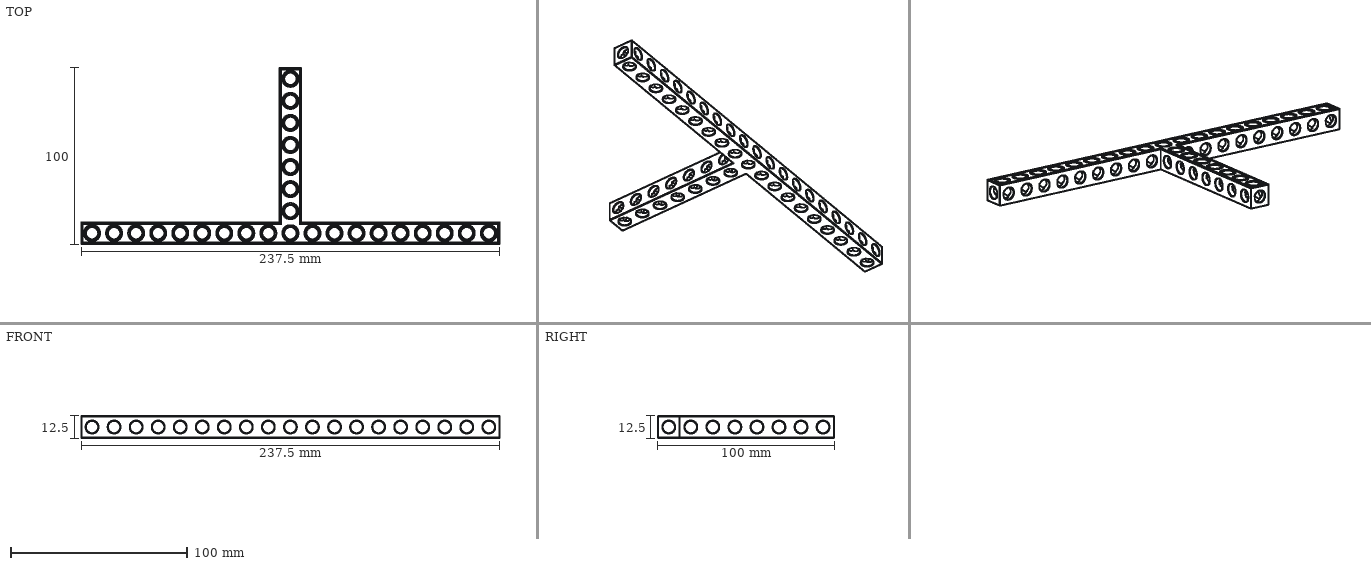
import cadquery as cq

length = 237.5
bar_holes = 19
stem_holes = 7
stem_station = 9
hole_diameter = 7.0
edge_chamfer = 0.3
ring_diameter = 9.3
border_width = 1.1
recess_depth = 0.2

pitch = length / bar_holes
half = pitch / 2
depth = pitch * (stem_holes + 1)
stem_x = half + stem_station * pitch

bar_stations = [half + i * pitch for i in range(bar_holes)]
stem_stations = [half + i * pitch for i in range(1, stem_holes + 1)]
top_holes = [(x, half) for x in bar_stations] + [(stem_x, y) for y in stem_stations]


def tee(inset, bottom, height):
    """T-shaped block standing on z = bottom, its outline drawn in by inset on every side."""
    stem_left = stem_x - half + inset
    stem_right = stem_x + half - inset
    outline = [
        (inset, inset),
        (length - inset, inset),
        (length - inset, pitch - inset),
        (stem_right, pitch - inset),
        (stem_right, depth - inset),
        (stem_left, depth - inset),
        (stem_left, pitch - inset),
        (inset, pitch - inset),
    ]
    return cq.Workplane("XY").workplane(offset=bottom).polyline(outline).close().extrude(height)


def chamfered_body():
    """The plain T, chamfered on all its edges except the two upright inside corners."""
    block = tee(0, 0, pitch)
    inside_corners = cq.selectors.BoxSelector(
        (stem_x - pitch, pitch - edge_chamfer, edge_chamfer),
        (stem_x + pitch, pitch + edge_chamfer, pitch - edge_chamfer),
    )
    outer_edges = cq.selectors.InverseSelector(inside_corners)
    return block.edges(outer_edges).chamfer(edge_chamfer)


def top_field():
    """Shallow layer removed from the top face, with a ring left standing around each hole."""
    field = tee(border_width, pitch - recess_depth, recess_depth)
    rings = cq.Workplane("XY").pushPoints(top_holes).circle(ring_diameter / 2).extrude(pitch)
    return field.cut(rings)


def hole_cutter(reach):
    """Through-hole cutter along +Z from the origin, widened by a 45 degree chamfer at both mouths."""
    hole_radius = hole_diameter / 2
    mouth_radius = hole_radius + edge_chamfer
    profile = [
        (0, 0),
        (mouth_radius, 0),
        (hole_radius, edge_chamfer),
        (hole_radius, reach - edge_chamfer),
        (mouth_radius, reach),
        (0, reach),
    ]
    return cq.Workplane("XZ").polyline(profile).close().revolve(360, (0, 0, 0), (0, 1, 0))


def hole_along_x(start_x, y, reach):
    return hole_cutter(reach).rotate((0, 0, 0), (0, 1, 0), 90).translate((start_x, y, half))


def hole_along_y(x, reach):
    return hole_cutter(reach).rotate((0, 0, 0), (1, 0, 0), -90).translate((x, 0, half))


holes = [hole_cutter(pitch).translate((x, y, 0)) for x, y in top_holes]
holes += [hole_along_y(x, pitch) for x in bar_stations if x != stem_x]
holes += [hole_along_x(stem_x - half, y, pitch) for y in stem_stations]
holes += [hole_along_x(0, half, length), hole_along_y(stem_x, depth)]

body = chamfered_body().cut(top_field())
drilled = body.val().cut(*[hole.val() for hole in holes])
result = cq.Workplane(drilled.Solids()[0])